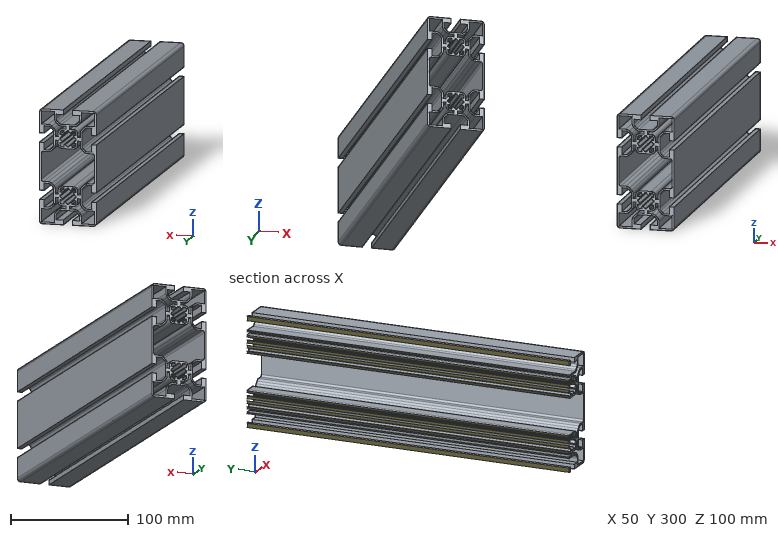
import cadquery as cq
import math

length = 300.0
width = 50.0
height = 100.0
corner_radius = 3.0
wall = 1.7

slot_opening = 8.0
lip_thickness = 4.2
chamber_width = 20.7
chamber_floor = 12.5
chamber_chamfer = 3.5
chamber_radius = 3.0
web = 1.5
housing_width = chamber_width + 2 * web
housing_floor = chamber_floor + web
housing_chamfer = chamber_chamfer + web * (2 - math.sqrt(2))
housing_radius = chamber_radius + web

core_size = 17.0
core_radius = 3.5
core_wall = 1.5
bore_size = core_size - 2 * core_wall
bore_radius = core_radius - core_wall
tooth_tip_inner = 2.5
tooth_tip_outer = 3.3
tooth_foot_inner = 0.3
tooth_foot_outer = 3.5
tooth_height = 2.0
rib_width = 3.3

cavity_fillet = 1.8

half_width = width / 2
half_height = height / 2
cell_offset = half_height - half_width


def section():
    return cq.Workplane("XZ")


def extruded(sketch):
    return sketch.extrude(length / 2, both=True)


def bar(size_x, size_z, radius=0):
    """Full-length rectangular bar with optionally rounded long edges."""
    body = extruded(section().rect(size_x, size_z))
    return body.edges("|Y").fillet(radius) if radius else body


def slot_block(block_width, start, floor):
    """Plain bar reaching from depth start to depth floor below the top face of a cell."""
    centre_z = half_width - (start + floor) / 2
    return extruded(section().center(0, centre_z).rect(block_width, floor - start))


def bevelled_slot_block(block_width, start, floor, chamfer, radius):
    """Slot block with chamfered floor corners, the chamfer ends rounded."""
    body = slot_block(block_width, start, floor).edges("|Y and <Z").chamfer(chamfer)
    return body.edges("|Y and (not >Z)").fillet(radius)


def on_slot_faces(shape):
    """Copy a shape made for the top face of a cell to all six slot faces."""
    copies = cq.Workplane("XZ")
    for side, end_angle in ((1, 0), (-1, 180)):
        for angle in (end_angle, 90, -90):
            turned = shape.rotate((0, 0, 0), (0, 1, 0), angle)
            copies = copies.add(turned.translate((0, 0, side * cell_offset)))
    return copies.combine()


def slot_housings():
    housing = bevelled_slot_block(housing_width, 0, housing_floor, housing_chamfer, housing_radius)
    return on_slot_faces(housing)


def slot_voids():
    chamber = bevelled_slot_block(
        chamber_width, lip_thickness, chamber_floor, chamber_chamfer, chamber_radius
    )
    opening = slot_block(slot_opening, 0, lip_thickness)
    return on_slot_faces(chamber.union(opening))


def core_ribs():
    """Ribs tying each slot housing to its core, ending inside both walls."""
    start = chamber_floor + web / 2
    end = half_width - bore_size / 2 - core_wall / 2
    return on_slot_faces(slot_block(rib_width, start, end))


def tooth(side):
    """Pointed tooth hanging from the upper bore wall, left or right of centre."""
    root = bore_size / 2 + core_wall / 2
    face = bore_size / 2
    tip = face - tooth_height
    outline = [
        (side * tooth_foot_inner, root),
        (side * tooth_foot_inner, face),
        (side * tooth_tip_inner, tip),
        (side * tooth_tip_outer, tip),
        (side * tooth_foot_outer, face),
        (side * tooth_foot_outer, root),
    ]
    return extruded(section().polyline(outline).close())


def screw_core():
    core = bar(core_size, core_size, core_radius).cut(bar(bore_size, bore_size, bore_radius))
    teeth = tooth(1).union(tooth(-1))
    for angle in (0, 90, 180, 270):
        core = core.union(teeth.rotate((0, 0, 0), (0, 1, 0), angle))
    return core


def cavity_gussets():
    """Concave fillets in the four corners of the middle cavity."""
    corner_x = half_width - wall
    corner_z = cell_offset - housing_width / 2
    outer = bar(2 * corner_x, 2 * corner_z)
    return outer.cut(bar(2 * corner_x, 2 * corner_z, cavity_fillet))


envelope = bar(width, height, corner_radius)
shell = envelope.cut(bar(width - 2 * wall, height - 2 * wall))
profile = shell.union(slot_housings().intersect(envelope))
profile = profile.union(cavity_gussets()).union(core_ribs())
for side in (1, -1):
    centre = (0, 0, side * cell_offset)
    profile = profile.union(screw_core().translate(centre))

result = profile.cut(slot_voids())